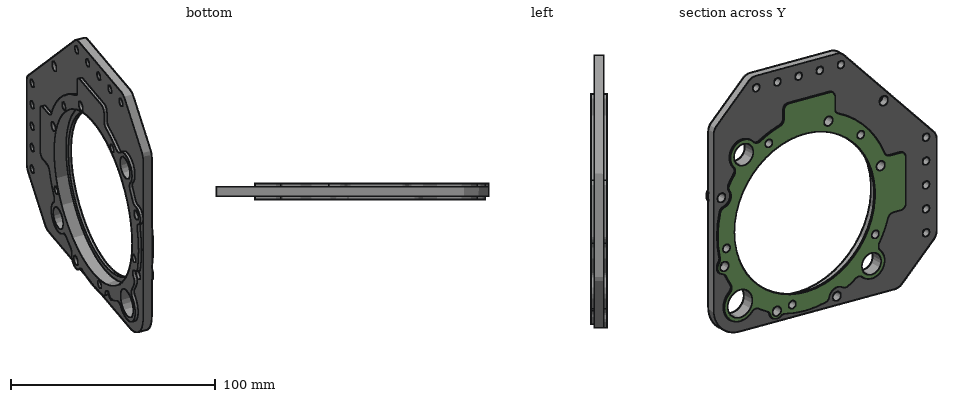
import cadquery as cq
import math


side = 133.4
bore_to_near_edge = 53.9
bore_to_far_edge = side - bore_to_near_edge
plate_thickness = 4.8
pad_height = 1.6
large_chamfer = 57.2
small_chamfer = 22.7
outline_radius = 6.4
round_corner_radius = 15.2

pad_radius = 52.0
tab_reach = 60.5
tab_start = -18.3
tab_end = 12.5
pad_fillet = 3.2

bore_radius = 41.9
recess_radius = 44.5
lip_thickness = 1.6

corner_hole_offset = bore_to_near_edge - round_corner_radius
corner_hole = (corner_hole_offset, -corner_hole_offset)
corner_hole_radius = 7.2
corner_boss_radius = 9.5

side_hole = (36.5, 39.9)
side_hole_radius = 5.6
side_boss_radius = 8.0

screw_radius = 2.4
tab_hole = (-14.1, 45.3)
front_ear_radius = 4.7
front_ear_hole = (bore_to_near_edge - front_ear_radius, 19.7)
rear_notch_radius = 5.1
rear_ear_radius = 4.1
rear_ear_hole = (48.0, -16.7)
front_notch_radius = 2.7

diagonal_hole_offset = 47.7
diagonal_hole_radius = 2.5

ring_count = 5
ring_radius = 47.3
ring_start_angle = 135
small_hole_radius = 2.0

row_count = 5
row_pitch = 12.7
row_start = -22.3
row_inset = 6.4

front_face = -plate_thickness / 2 - pad_height
rear_face = plate_thickness / 2 + pad_height


def mirrored(point):
    """Return the point and its mirror image about the diagonal."""
    x, z = point
    return [(x, z), (-z, -x)]


def discs(points, radius, y_start, y_end):
    """Cylinders along Y, centred at the given (x, z) points."""
    plane = cq.Workplane("XZ", origin=(0, y_start, 0))
    return plane.pushPoints(points).circle(radius).extrude(y_start - y_end)


def plate():
    """Seven-sided plate with rounded corners."""
    left, right = -bore_to_far_edge, bore_to_near_edge
    bottom, top = -bore_to_near_edge, bore_to_far_edge
    outline = [
        (left + small_chamfer, bottom),
        (right, bottom),
        (right, top - small_chamfer),
        (right - small_chamfer, top),
        (left + large_chamfer, top),
        (left, top - large_chamfer),
        (left, bottom + small_chamfer),
    ]
    body = cq.Workplane("XZ").polyline(outline).close().extrude(plate_thickness / 2, both=True)
    round_corner = cq.selectors.NearestToPointSelector((right, 0, bottom))
    body = body.edges(round_corner).fillet(round_corner_radius)
    for corner in outline:
        if corner != (right, bottom):
            nearest = cq.selectors.NearestToPointSelector((corner[0], 0, corner[1]))
            body = body.edges(nearest).fillet(outline_radius)
    return body


def tab(y_start, y_end):
    """Rectangular tab of the pad towards the top edge, with rounded outer corners."""
    width = tab_end - tab_start
    block = cq.Workplane("XZ", origin=(tab_start, y_start, 0)).rect(width, tab_reach, centered=False)
    return block.extrude(y_start - y_end)


def pad(y_start, y_end, ears, ear_radius, notches, notch_radius):
    """Disc with tabs, bosses, ears and notches, all blended; ears and notches are (x, z) centres."""
    top_tab = tab(y_start, y_end)
    left_tab = top_tab.mirror("XY").rotate((0, 0, 0), (0, 1, 0), 90)
    body = discs([(0, 0)], pad_radius, y_start, y_end).union(top_tab).union(left_tab)
    body = body.union(discs([corner_hole], corner_boss_radius, y_start, y_end))
    body = body.union(discs(mirrored(side_hole), side_boss_radius, y_start, y_end))
    body = body.union(discs(ears, ear_radius, y_start, y_end))
    body = body.cut(discs(notches, notch_radius, y_start, y_end))
    return body.edges("|Y").fillet(pad_fillet)


def bore():
    """Stepped bore: a wide recess from the front that leaves a lip at the rear."""
    opening = discs([(0, 0)], bore_radius, front_face, rear_face)
    return opening.union(discs([(0, 0)], recess_radius, front_face, rear_face - lip_thickness))


def through_holes(points, radius):
    """Cutters through the plate and both pads."""
    return discs(points, radius, front_face, rear_face)


def ring_points():
    """Evenly spaced hole centres on the circle around the bore."""
    angles = [math.radians(ring_start_angle + 360 / ring_count * i) for i in range(ring_count)]
    return [(ring_radius * math.cos(angle), ring_radius * math.sin(angle)) for angle in angles]


def row_points():
    """Hole centres along the top edge and, mirrored, along the left edge."""
    row_height = bore_to_far_edge - row_inset
    points = []
    for i in range(row_count):
        points += mirrored((row_start + row_pitch * i, row_height))
    return points


front_ears = mirrored(front_ear_hole)
rear_ears = mirrored(rear_ear_hole)
screw_holes = front_ears + rear_ears + mirrored(tab_hole)
diagonal_hole = (-diagonal_hole_offset, diagonal_hole_offset)

front_pad = pad(
    front_face, -plate_thickness / 2, front_ears, front_ear_radius, rear_ears, front_notch_radius
)
rear_pad = pad(
    plate_thickness / 2, rear_face, rear_ears, rear_ear_radius, front_ears, rear_notch_radius
)

result = plate().union(front_pad).union(rear_pad)
result = result.cut(bore())
result = result.cut(through_holes([corner_hole], corner_hole_radius))
result = result.cut(through_holes(mirrored(side_hole), side_hole_radius))
result = result.cut(through_holes(screw_holes, screw_radius))
result = result.cut(through_holes([diagonal_hole], diagonal_hole_radius))
result = result.cut(through_holes(ring_points() + row_points(), small_hole_radius))